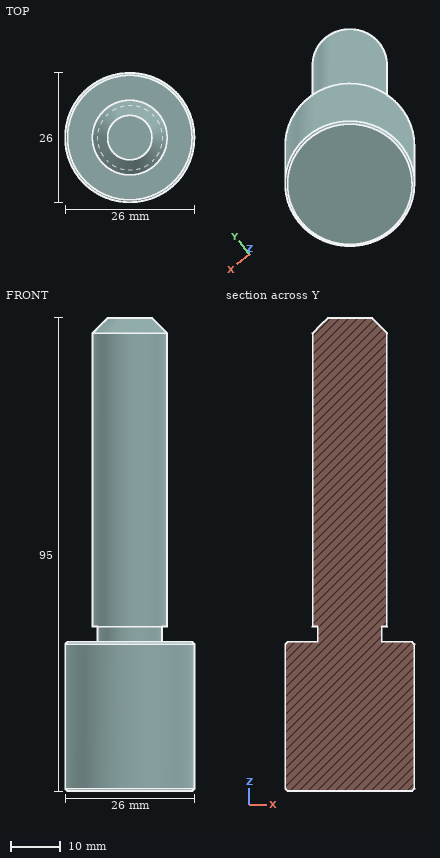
import cadquery as cq

total_length = 95.0
head_diameter = 26.0
head_height = 30.0
head_chamfer = 0.5
neck_diameter = 13.0
neck_height = 3.0
shank_diameter = 15.0
tip_chamfer = 3.0

shank_base = head_height + neck_height
shank_length = total_length - shank_base

head = cq.Workplane("XY").circle(head_diameter / 2).extrude(head_height)
head = head.edges("%CIRCLE").chamfer(head_chamfer)

neck = cq.Workplane("XY").workplane(offset=head_height).circle(neck_diameter / 2).extrude(neck_height)

shank = cq.Workplane("XY").workplane(offset=shank_base).circle(shank_diameter / 2).extrude(shank_length)
shank = shank.faces(">Z").edges().chamfer(tip_chamfer)

result = head.union(neck).union(shank)